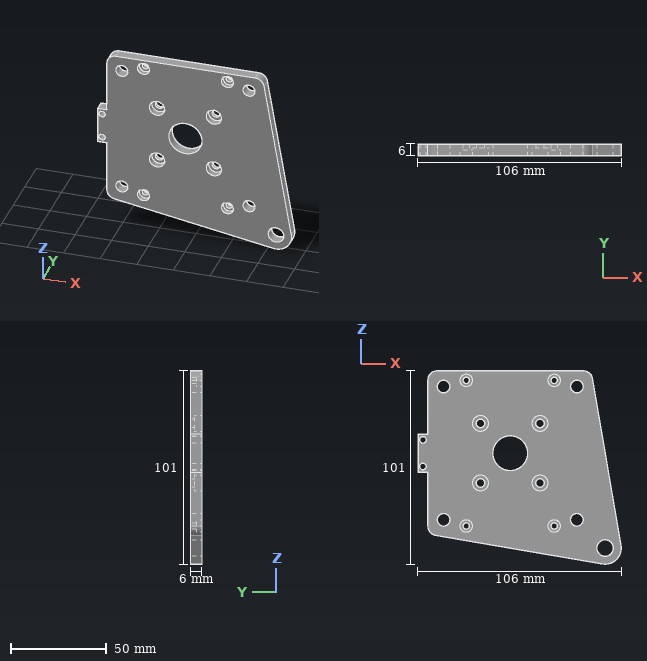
import cadquery as cq
import math

thickness = 6.0
left_edge = -43.0
top_edge = 43.0
corner_radius = 5.0
top_right_corner = (38.1, top_edge - corner_radius)
tail_center = (49.5, -49.5)
tail_radius = 8.5

tab_length = 5.0
tab_height = 19.9
tab_center_z = 0.0
tab_hole_diameter = 3.3
tab_hole_spacing = 13.9
tab_hole_x = left_edge - tab_length / 2

bore_diameter = 18.0
corner_hole_diameter = 6.5
corner_hole_spacing = 69.5
tail_hole_diameter = 8.5

motor_hole_spacing = 31.1
motor_hole_diameter = 4.3
motor_counterbore_diameter = 8.3
motor_counterbore_depth = 4.0
edge_hole_spacing_x = 45.9
edge_hole_spacing_z = 76.0
edge_hole_diameter = 3.2
edge_counterbore_diameter = 6.5
edge_counterbore_depth = 3.0


def on_circle(center, radius, angle):
    return (center[0] + radius * math.cos(angle), center[1] + radius * math.sin(angle))


def mirrored(point):
    """Reflect across the plate diagonal z = -x."""
    return (-point[1], -point[0])


def plate():
    run = tail_center[0] - top_right_corner[0]
    rise = tail_center[1] - top_right_corner[1]
    radius_change = corner_radius - tail_radius
    normal = math.atan2(rise, run) + math.acos(radius_change / math.hypot(run, rise))
    side_start = on_circle(top_right_corner, corner_radius, normal)
    side_end = on_circle(tail_center, tail_radius, normal)
    corner_top = (top_right_corner[0], top_right_corner[1] + corner_radius)
    corner_middle = on_circle(top_right_corner, corner_radius, (normal + math.pi / 2) / 2)
    tail_middle = on_circle(tail_center, tail_radius, -math.pi / 4)
    top_left = (left_edge + corner_radius, top_edge - corner_radius)
    top_left_middle = on_circle(top_left, corner_radius, 3 * math.pi / 4)
    return (
        cq.Workplane("XZ")
        .moveTo(top_left[0], top_edge)
        .lineTo(*corner_top)
        .threePointArc(corner_middle, side_start)
        .lineTo(*side_end)
        .threePointArc(tail_middle, mirrored(side_end))
        .lineTo(*mirrored(side_start))
        .threePointArc(mirrored(corner_middle), mirrored(corner_top))
        .lineTo(left_edge, top_left[1])
        .threePointArc(top_left_middle, (top_left[0], top_edge))
        .close()
        .extrude(thickness)
    )


def tab():
    return (
        cq.Workplane("XZ")
        .center(left_edge, tab_center_z)
        .rect(2 * tab_length, tab_height)
        .extrude(thickness)
    )


def front_face(body):
    return body.faces("<Y").workplane(origin=(0, -thickness, 0))


result = plate().union(tab())

result = front_face(result).hole(bore_diameter)
result = front_face(result).pushPoints([tail_center]).hole(tail_hole_diameter)
result = (
    front_face(result)
    .rect(corner_hole_spacing, corner_hole_spacing, forConstruction=True)
    .vertices()
    .hole(corner_hole_diameter)
)
result = (
    front_face(result)
    .center(tab_hole_x, tab_center_z)
    .pushPoints([(0, -tab_hole_spacing / 2), (0, tab_hole_spacing / 2)])
    .hole(tab_hole_diameter)
)
result = (
    front_face(result)
    .rect(motor_hole_spacing, motor_hole_spacing, forConstruction=True)
    .vertices()
    .cboreHole(motor_hole_diameter, motor_counterbore_diameter, motor_counterbore_depth)
)
result = (
    front_face(result)
    .rect(edge_hole_spacing_x, edge_hole_spacing_z, forConstruction=True)
    .vertices()
    .cboreHole(edge_hole_diameter, edge_counterbore_diameter, edge_counterbore_depth)
)